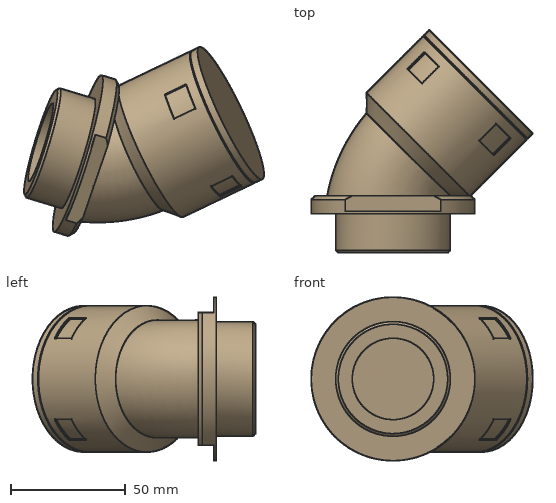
import cadquery as cq
import math

spigot_diameter = 50.0
spigot_length = 17.0
spigot_chamfer = 1.2
recess_diameter = 35.5
recess_depth = 4.9

flange_diameter = 71.5
flange_thickness = 8.0
flange_chamfer = 1.8
flange_lip = 1.3
flats_width = 58.0

elbow_diameter = 51.4
elbow_bend_radius = 51.6
elbow_center_x = 47.2
elbow_center_y = 10.8
elbow_end_angle = 45.0

socket_angle = 45.0
socket_origin_y = 36.3
socket_diameter = 64.0
socket_end = 54.3
cone_start = 9.25
cone_length = (socket_diameter - elbow_diameter) / 2
groove_diameter = 58.0
groove_width = 0.5
rim_width = 3.3

pocket_start = 35.5
pocket_length = 10.4
pocket_width = 12.7
pocket_depth = 0.9
pocket_angles = (45, 135, 225, 315)

flange_top = spigot_length + flange_thickness


def y_cylinder(diameter, start, length):
    """Cylinder along +Y, beginning at the given Y."""
    return cq.Workplane("XZ", origin=(0, start, 0)).circle(diameter / 2).extrude(-length)


def make_spigot():
    """Plain spigot with a chamfered free end."""
    return y_cylinder(spigot_diameter, 0, spigot_length).faces("<Y").chamfer(spigot_chamfer)


def make_flange():
    """Round flange with two flats that stop short of a thin full-round lip."""
    flange = y_cylinder(flange_diameter, spigot_length, flange_thickness)
    flange = flange.faces(">Y").chamfer(flange_chamfer)
    lip = y_cylinder(flange_diameter, spigot_length, flange_lip)
    between_flats = cq.Workplane("XY").box(flange_diameter, 2 * flange_top, flats_width)
    return flange.intersect(between_flats).union(lip)


def make_elbow():
    """Curved tube body, starting inside the flange and ending inside the cone."""
    start_angle = math.degrees(math.asin((spigot_length - elbow_center_y) / elbow_bend_radius))
    turn = elbow_end_angle - start_angle
    elbow = (
        cq.Workplane("XZ")
        .center(-elbow_bend_radius, 0)
        .circle(elbow_diameter / 2)
        .revolve(turn, (elbow_bend_radius, 0), (elbow_bend_radius, -1))
        .rotate((0, 0, 0), (0, 0, 1), -start_angle)
        .translate((elbow_center_x, elbow_center_y, 0))
    )
    clip_size = 4 * elbow_center_x
    above_flange_base = y_cylinder(clip_size, spigot_length, clip_size)
    return elbow.intersect(above_flange_base)


def make_socket():
    """Conical shoulder and grooved cylinder, built along Y and then turned into place."""
    groove_end = socket_end - rim_width
    groove_start = groove_end - groove_width
    socket_radius = socket_diameter / 2
    groove_radius = groove_diameter / 2
    profile = [
        (0, cone_start),
        (elbow_diameter / 2, cone_start),
        (socket_radius, cone_start + cone_length),
        (socket_radius, groove_start),
        (groove_radius, groove_start),
        (groove_radius, groove_end),
        (socket_radius, groove_end),
        (socket_radius, socket_end),
        (0, socket_end),
    ]
    socket = cq.Workplane("XY").polyline(profile).close().revolve(360, (0, 0), (0, 1))

    floor_diameter = socket_diameter - 2 * pocket_depth
    core = y_cylinder(floor_diameter, pocket_start, pocket_length)
    for angle in pocket_angles:
        pocket = (
            cq.Workplane("XY")
            .box(socket_diameter, pocket_length, pocket_width, centered=(False, False, True))
            .translate((0, pocket_start, 0))
            .cut(core)
            .rotate((0, 0, 0), (0, 1, 0), angle)
        )
        socket = socket.cut(pocket)

    return socket.rotate((0, 0, 0), (0, 0, 1), -socket_angle).translate((0, socket_origin_y, 0))


recess = y_cylinder(recess_diameter, 0, recess_depth)

result = make_flange().union(make_spigot()).union(make_elbow()).union(make_socket()).cut(recess)